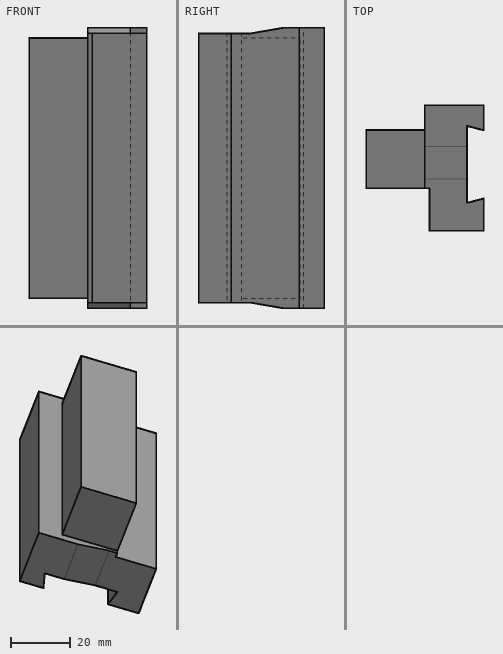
import cadquery as cq

HEIGHT = 95.0
HOUSING_DEPTH = 20.0
HOUSING_WIDTH = 42.6
BLOCK_DEPTH = 19.8
BLOCK_WIDTH = 19.8
BLOCK_END_INSET = 3.4
BLOCK_SIDE_INSET = 8.4

FRONT_STEP = 1.6
END_DROP = 1.9
SLOPE_START = 13.9
SLOPE_LENGTH = 11.1
DOVETAIL_DEPTH = 5.6
DOVETAIL_MOUTH = 23.0
DOVETAIL_FLOOR = 25.9
DOVETAIL_CENTER = 20.0

SIDE_Y = HOUSING_WIDTH / 2
HALF_HEIGHT = HEIGHT / 2
LOW_HALF_HEIGHT = HALF_HEIGHT - END_DROP
BLOCK_TOP_Y = SIDE_Y - BLOCK_SIDE_INSET
BLOCK_BOTTOM_Y = BLOCK_TOP_Y - BLOCK_WIDTH
GROOVE_Y = SIDE_Y - DOVETAIL_CENTER
GROOVE_FLOOR_X = HOUSING_DEPTH - DOVETAIL_DEPTH
SLOPE_TOP_Y = SIDE_Y - SLOPE_START
SLOPE_BOTTOM_Y = SLOPE_TOP_Y - SLOPE_LENGTH


def make_side_profile():
    """Housing with sloped ends, extruded along X from its YZ outline."""
    outline = [
        (SIDE_Y, -HALF_HEIGHT),
        (SIDE_Y, HALF_HEIGHT),
        (SLOPE_TOP_Y, HALF_HEIGHT),
        (SLOPE_BOTTOM_Y, LOW_HALF_HEIGHT),
        (-SIDE_Y, LOW_HALF_HEIGHT),
        (-SIDE_Y, -LOW_HALF_HEIGHT),
        (SLOPE_BOTTOM_Y, -LOW_HALF_HEIGHT),
        (SLOPE_TOP_Y, -HALF_HEIGHT),
    ]
    return cq.Workplane("YZ").polyline(outline).close().extrude(HOUSING_DEPTH)


def make_dovetail_groove():
    """Cutter for the full-height dovetail groove in the +X face."""
    outline = [
        (GROOVE_FLOOR_X, GROOVE_Y + DOVETAIL_FLOOR / 2),
        (HOUSING_DEPTH, GROOVE_Y + DOVETAIL_MOUTH / 2),
        (HOUSING_DEPTH, GROOVE_Y - DOVETAIL_MOUTH / 2),
        (GROOVE_FLOOR_X, GROOVE_Y - DOVETAIL_FLOOR / 2),
    ]
    return cq.Workplane("XY").polyline(outline).close().extrude(HALF_HEIGHT, both=True)


def make_front_step():
    """Cutter that sets the -X face back, from the block's -Y side outward."""
    step_width = BLOCK_BOTTOM_Y + SIDE_Y
    return (
        cq.Workplane("XY")
        .box(FRONT_STEP, step_width, HEIGHT, centered=(False, False, True))
        .translate((0, -SIDE_Y, 0))
    )


def make_housing():
    return make_side_profile().cut(make_dovetail_groove()).cut(make_front_step())


def make_block():
    """Plain rectangular block lying against the housing's -X face."""
    block_height = HEIGHT - 2 * BLOCK_END_INSET
    return (
        cq.Workplane("XY")
        .box(BLOCK_DEPTH, BLOCK_WIDTH, block_height, centered=(False, False, True))
        .translate((-BLOCK_DEPTH, BLOCK_BOTTOM_Y, 0))
    )


housing = make_housing()
block = make_block()
result = cq.Compound.makeCompound([housing.val(), block.val()])